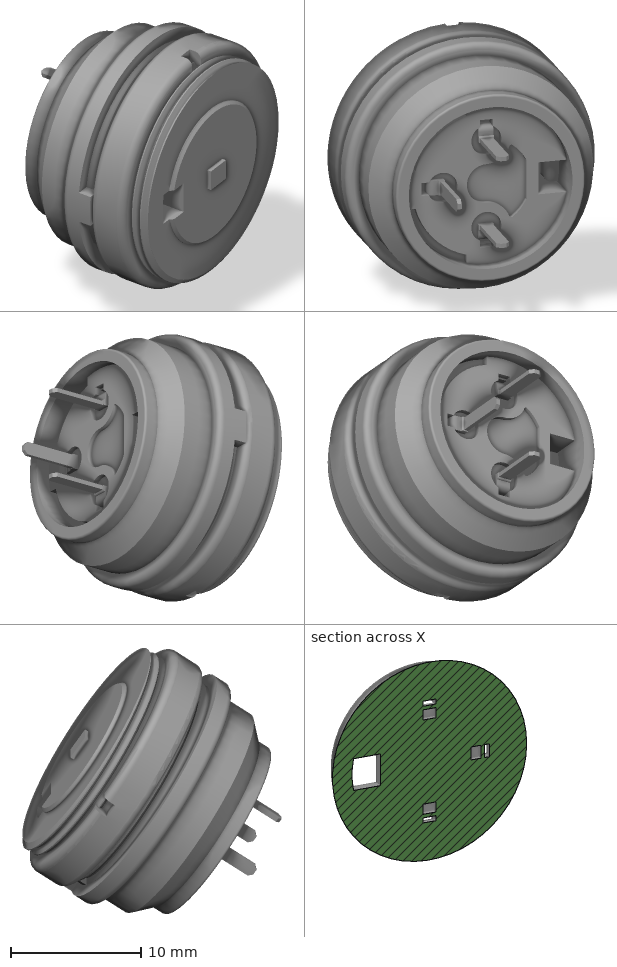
import cadquery as cq
import math

collar_end = 1.15
cone_end = 2.65
flange_start = 5.25
flange_end = 6.75
nut_start = 7.85
nut_end = 10.85
thread_end = 12.25
boss_end = 12.55

outer_radius = 10.0
body_radius = 9.0
collar_radius = 15.1 / 2
boss_radius = 5.85
boss_chamfer = 0.25
rim_fillet = 0.18
flange_fillet = 0.48
nut_fillet = 0.55

bore_radius = 13.1 / 2
bore_depth = collar_end

thread_pitch = 0.75
thread_depth = 0.45
groove_root_width = 0.12
groove_top_width = groove_root_width + 2 * thread_depth * math.tan(math.radians(30))
groove_start = 7.05
groove_start_angle = -61.5

tab_width = 2.62
tab_inner_radius = 8.9
notch_width = 1.18
notch_length = 1.02

arc_inner_radius = 5.85
arc_depth = 0.6
arc_near_z = 1.52
arc_near_y = 1.58

contact_angles = (0, -90, 180)
contact_offset = 3.52
contact_recess_radius = 1.2
contact_recess_depth = 0.45
pin_tip = -3.5
pin_width = 1.05
pin_thickness = 0.35
pin_tip_chamfer = 0.3
bend_width = 1.2
bend_face = 1.25
bend_inner_radius = 0.15
bend_outer_radius = 0.48
bend_outer_z = 4.65
slot_outer_z = 5.18
slot_depth = 1.0
slot_step_z = 5.05
slot_step_depth = 0.5

centre_radius = 1.55
horn_radius = 3.58
flat_y = -3.2
horn_tip_fillet = 0.15
centre_depth = 0.4

window_inner_y = -4.18
window_height = 2.6
bump_inner_y = -5.4
bump_start = 3.6
bump_length = 1.6
bump_height = 2.48
bump_fillet = 0.48
pad_length = 0.35
pad_width = 2.0
pad_height = 1.68


def disc(start, end, radius):
    """Round bar along X between two stations."""
    return cq.Workplane("YZ", origin=(start, 0, 0)).circle(radius).extrude(end - start)


def block(start, end, y_low, y_high, z_low, z_high):
    """Axis-aligned block given by its limits."""
    size = (end - start, y_high - y_low, z_high - z_low)
    return cq.Workplane("XY", origin=(start, y_low, z_low)).box(*size, centered=False)


def threaded_core():
    """Front barrel with a right-handed helical thread groove."""
    groove_length = thread_end + thread_pitch - groove_start
    blank = disc(flange_start, thread_end + 3 * thread_pitch, body_radius)
    root_radius = body_radius - thread_depth
    helix = cq.Wire.makeHelix(thread_pitch, groove_length, root_radius)
    overshoot = 0.05
    top_half = groove_top_width / 2 + overshoot * math.tan(math.radians(30))
    root_half = groove_root_width / 2
    groove = (
        cq.Workplane("XZ", origin=(root_radius, 0, 0))
        .polyline([
            (0, -root_half),
            (thread_depth + overshoot, -top_half),
            (thread_depth + overshoot, top_half),
            (0, root_half),
        ])
        .close()
        .sweep(cq.Workplane(obj=helix), isFrenet=True)
        .rotate((0, 0, 0), (0, 1, 0), 90)
        .rotate((0, 0, 0), (1, 0, 0), groove_start_angle)
        .translate((groove_start, 0, 0))
    )
    return blank.cut(groove).intersect(disc(flange_start, thread_end, body_radius))


def rear_body():
    """Collar, cone and barrel behind the flange."""
    return (
        cq.Workplane("XY")
        .polyline([
            (0, 0),
            (0, collar_radius),
            (collar_end, collar_radius),
            (cone_end, body_radius),
            (flange_start, body_radius),
            (flange_start, 0),
        ])
        .close()
        .revolve(360, (0, 0, 0), (1, 0, 0))
        .faces("<X").edges().fillet(rim_fillet)
    )


def flange():
    """Flange ring with the tab that bridges to the nut on the -Y side."""
    ring = disc(flange_start, flange_end, outer_radius).faces("<X").edges().fillet(flange_fillet)
    tab = disc(flange_end, nut_start, outer_radius).cut(disc(flange_end, nut_start, tab_inner_radius))
    half = tab_width / 2
    return ring.union(tab.intersect(block(flange_end, nut_start, -outer_radius, 0, -half, half)))


def nut():
    """Ring nut with a spanner notch at the top and the bottom."""
    ring = disc(nut_start, nut_end, outer_radius).edges().fillet(nut_fillet)
    ring = ring.cut(disc(nut_start, nut_end, body_radius - thread_depth / 2))
    half = notch_width / 2
    return ring.cut(block(nut_end - notch_length, nut_end, -half, half, -outer_radius, outer_radius))


def arc_recess(side):
    """Quarter arc recess in the insert; side is +1 above and -1 below the XY plane."""
    end = bore_depth + arc_depth
    ring = disc(bore_depth, end, bore_radius).cut(disc(bore_depth, end, arc_inner_radius))
    z_low, z_high = sorted((side * arc_near_z, side * bore_radius))
    return ring.intersect(block(bore_depth, end, arc_near_y, bore_radius, z_low, z_high))


def centre_recess():
    """Rounded recess flaring to two horns that run concentric with the contact recesses."""
    flank_radius = contact_offset - centre_radius
    tip_z = (horn_radius**2 + contact_offset**2 - flank_radius**2) / (2 * contact_offset)
    tip_y = -math.sqrt(horn_radius**2 - tip_z**2)
    flat_z = math.sqrt(horn_radius**2 - flat_y**2)
    half_turn = math.atan2(-tip_y, contact_offset - tip_z) / 2
    flank_y = -flank_radius * math.sin(half_turn)
    flank_z = contact_offset - flank_radius * math.cos(half_turn)
    horn_turn = (math.atan2(tip_z, -tip_y) + math.atan2(flat_z, -flat_y)) / 2
    horn_y = -horn_radius * math.cos(horn_turn)
    horn_z = horn_radius * math.sin(horn_turn)
    recess = (
        cq.Workplane("YZ", origin=(bore_depth, 0, 0))
        .moveTo(0, centre_radius)
        .threePointArc((centre_radius, 0), (0, -centre_radius))
        .threePointArc((flank_y, -flank_z), (tip_y, -tip_z))
        .threePointArc((horn_y, -horn_z), (flat_y, -flat_z))
        .lineTo(flat_y, flat_z)
        .threePointArc((horn_y, horn_z), (tip_y, tip_z))
        .threePointArc((flank_y, flank_z), (0, centre_radius))
        .close()
        .extrude(centre_depth)
    )
    return recess.edges("|X").edges(">Z or <Z").fillet(horn_tip_fillet)


def contact_pocket(angle):
    """Round recess and outward slot around one contact."""
    recess = disc(bore_depth, bore_depth + contact_recess_depth, contact_recess_radius)
    recess = recess.translate((0, 0, contact_offset))
    half = pin_width / 2
    mouth = block(bore_depth, bore_depth + slot_step_depth, -half, half, contact_offset, slot_outer_z)
    slot = block(bore_depth, bore_depth + slot_depth, -half, half, contact_offset, slot_step_z)
    return recess.union(mouth).union(slot).rotate((0, 0, 0), (1, 0, 0), angle)


def contact(angle):
    """Flat solder pin whose foot bends outward and then down into its slot."""
    pin_low = contact_offset - pin_thickness / 2
    pin_high = contact_offset + pin_thickness / 2
    half = pin_width / 2
    bend_back = bend_face + pin_thickness
    pin = block(pin_tip, bend_back, -half, half, pin_low, pin_high)
    pin = pin.faces("<X").edges("|Z").chamfer(pin_tip_chamfer)
    foot_end = bore_depth + slot_depth
    foot_inner_z = bend_outer_z - pin_thickness
    foot = (
        cq.Workplane("XZ", origin=(0, bend_width / 2, 0))
        .moveTo(bend_face - bend_inner_radius, pin_high)
        .radiusArc((bend_face, pin_high + bend_inner_radius), bend_inner_radius)
        .lineTo(bend_face, bend_outer_z - bend_outer_radius)
        .radiusArc((bend_face + bend_outer_radius, bend_outer_z), bend_outer_radius)
        .lineTo(foot_end, bend_outer_z)
        .lineTo(foot_end, foot_inner_z)
        .lineTo(bend_back, foot_inner_z)
        .lineTo(bend_back, pin_low)
        .lineTo(bend_face - bend_inner_radius, pin_low)
        .close()
        .extrude(bend_width)
    )
    return pin.union(foot).rotate((0, 0, 0), (1, 0, 0), angle)


def window():
    """Opening through the insert from the bore floor to the front end."""
    half = window_height / 2
    opening = block(bore_depth, boss_end, -bore_radius, window_inner_y, -half, half)
    return opening.intersect(disc(bore_depth, boss_end, bore_radius))


def latch_bump():
    """Rounded bump on the outer wall of the window."""
    half = bump_height / 2
    bump = block(bump_start, bump_start + bump_length, -body_radius + thread_depth * 2, bump_inner_y, -half, half)
    return bump.faces(">Y").edges().fillet(bump_fillet)


front_boss = disc(thread_end, boss_end, boss_radius).faces(">X").edges().chamfer(boss_chamfer)
front_pad = block(boss_end, boss_end + pad_length, -pad_width / 2, pad_width / 2, -pad_height / 2, pad_height / 2)

result = rear_body().union(threaded_core()).union(flange()).union(nut())
result = result.union(front_boss).union(front_pad)
result = result.cut(disc(0, bore_depth, bore_radius))
for side in (1, -1):
    result = result.cut(arc_recess(side))
result = result.cut(centre_recess()).cut(window()).union(latch_bump())
for angle in contact_angles:
    result = result.cut(contact_pocket(angle)).union(contact(angle))